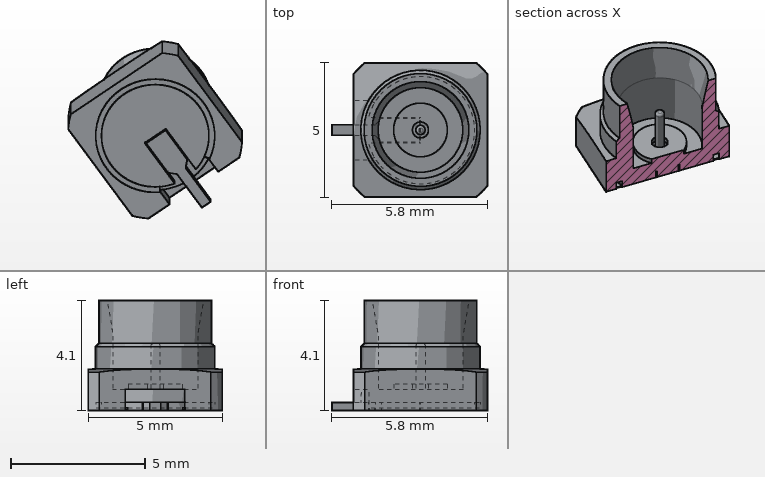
import cadquery as cq
import math

base_side = 5.0
base_height = 1.55
corner_diameter = 6.495
crown_drop = 0.115

collar_diameter = 4.45
collar_top = 2.5
barrel_diameter = 4.2
barrel_top = 4.1
collar_bevel = (collar_diameter - barrel_diameter) / 2

mouth_diameter = 3.6
bore_diameter = 3.15
taper_bottom = 2.8
socket_floor = 0.8

insulator_diameter = 2.0
insulator_rise = 0.2
insulator_top = socket_floor + insulator_rise
pin_clearance_diameter = 0.6
pin_diameter = 0.35
pin_top = 2.5
pin_tip_round = 0.09

lead_width = 0.4
lead_height = 0.3
overall_length = 5.8
lead_reach = overall_length - base_side / 2
foot_width = 0.88
foot_front = 1.45
foot_clearance = 0.04

notch_width = 2.215
notch_height = 0.8
core_diameter = 4.0
groove_diameter = 4.43
rib_bottom = 0.03
rib_top = 0.1
rib_half_gap = math.radians(30.5)


def cylinder(diameter, bottom, top):
    return cq.Workplane("XY").workplane(offset=bottom).circle(diameter / 2).extrude(top - bottom)


def ring(outer, inner, bottom, top):
    return cylinder(outer, bottom, top).cut(cylinder(inner, bottom, top))


def toward_lead(width, height):
    """Block from the axis out past the base on the lead side (-X)."""
    return cq.Workplane("XY").box(base_side, width, height, centered=(True, True, False)).translate(
        (-base_side / 2, 0, 0)
    )


def make_base():
    """Square block trimmed by a cylinder whose top curves down from the collar."""
    corner_radius = corner_diameter / 2
    collar_radius = collar_diameter / 2
    envelope = (
        cq.Workplane("XZ")
        .lineTo(0, base_height)
        .lineTo(collar_radius, base_height)
        .tangentArcPoint((corner_radius, base_height - crown_drop), relative=False)
        .lineTo(corner_radius, 0)
        .close()
        .revolve(360, (0, 0), (0, 1))
    )
    block = cq.Workplane("XY").rect(base_side, base_side).extrude(base_height)
    return block.intersect(envelope)


def make_barrel():
    collar = cylinder(collar_diameter, base_height, collar_top).faces(">Z").chamfer(collar_bevel)
    return collar.union(cylinder(barrel_diameter, base_height, barrel_top))


def make_socket():
    """Straight bore with a mouth that widens toward the rim."""
    return (
        cq.Workplane("XZ")
        .polyline([
            (0, socket_floor),
            (bore_diameter / 2, socket_floor),
            (bore_diameter / 2, taper_bottom),
            (mouth_diameter / 2, barrel_top),
            (0, barrel_top),
        ])
        .close()
        .revolve(360, (0, 0), (0, 1))
    )


def make_contact():
    """Insulator, with the round-tipped pin standing in its clearance hole."""
    insulator = ring(insulator_diameter, pin_clearance_diameter, socket_floor, insulator_top)
    pin = cylinder(pin_diameter, socket_floor, pin_top).faces(">Z").edges().fillet(pin_tip_round)
    return insulator.union(pin)


def make_rib_gap():
    """Wedge on the lead side with radial faces, reaching past the groove."""
    half_width = base_side * math.tan(rib_half_gap)
    return (
        cq.Workplane("XY")
        .polyline([(0, 0), (-base_side, half_width), (-base_side, -half_width)])
        .close()
        .extrude(lead_height)
    )


def make_underside_cut():
    """Notch outside the groove, ring groove with its rib, and the lead slot."""
    notch = toward_lead(notch_width, notch_height).cut(cylinder(groove_diameter, 0, notch_height))
    groove = ring(groove_diameter, core_diameter, 0, lead_height)
    rib = ring(groove_diameter, core_diameter, rib_bottom, rib_top).cut(make_rib_gap())
    slot_width = foot_width + 2 * foot_clearance
    slot = toward_lead(slot_width, lead_height).intersect(cylinder(core_diameter, 0, lead_height))
    return notch.union(groove.cut(rib)).union(slot)


def make_lead():
    """Flat lead that flares at 45 degrees into the wider foot."""
    half_foot = foot_width / 2
    half_lead = lead_width / 2
    flare_start = foot_front + half_foot - half_lead
    return (
        cq.Workplane("XY")
        .polyline([
            (-foot_clearance, half_foot),
            (-foot_front, half_foot),
            (-flare_start, half_lead),
            (-lead_reach, half_lead),
            (-lead_reach, -half_lead),
            (-flare_start, -half_lead),
            (-foot_front, -half_foot),
            (-foot_clearance, -half_foot),
        ])
        .close()
        .extrude(lead_height)
    )


body = make_base().union(make_barrel()).cut(make_socket()).cut(make_underside_cut())
result = body.union(make_contact()).union(make_lead())